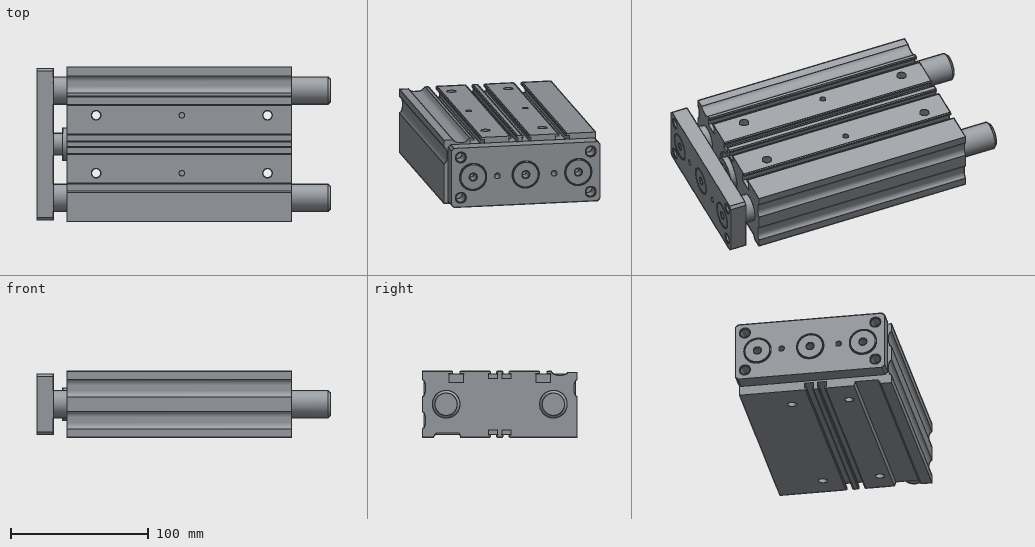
import cadquery as cq
import math

total_length = 213.0
plate_thickness = 12.0
housing_start = 21.7
housing_length = 163.0
collar_projection = 3.0

housing_width = 112.0
housing_height = 48.0
half_width = housing_width / 2
half_height = housing_height / 2

groove_depth = 2.1
groove_radius = 5.1
groove_bevel = 1.3
side_groove_near_bevel = 0.6
top_groove_near_bevel = 0.2
groove_clearance = 2.1
side_groove_inner = 5.3
side_groove_outer = 17.9
top_groove_inner = 37.0
top_groove_outer = 49.5
rail_drop = 0.9

slot_lip = 1.7
lip_bevel = 0.9
lip_bevel_drop = 0.53
centre_slot_inner = 1.5
centre_slot_outer = 7.5
centre_slot_depth = 5.3
centre_slot_undercut = 1.5
outer_slot_inner = 28.1
outer_slot_outer = 35.0
outer_slot_depth = 8.0
outer_slot_undercut = 2.8

relief_inner = 28.3
relief_outer = 48.1
relief_depth = 3.2
relief_inner_bevel = 1.0
relief_outer_bevel = 2.1

recess_diameter = 32.0
recess_depth = 2.0

mount_hole_diameter = 6.5
mount_hole_first_x = 43.0
mount_hole_pitch = 124.2
pin_diameter = 4.0
pin_depth = 5.3
pin_spacing = 42.0

plate_width = 110.0
plate_height = 44.0
plate_chamfer = 2.0
plate_hole_diameter = 6.8
plate_hole_chamfer = 0.6
plate_hole_spacing_y = 96.0
plate_hole_spacing_z = 30.0

guide_diameter = 20.0
guide_spacing = 77.7
guide_tip_chamfer = 2.0
seat_chamfer = 0.9
piston_diameter = 16.0
collar_diameter = 23.9
thread_diameter = 5.1
thread_chamfer = 0.5
thread_depth = 10.6
drill_half_angle = 59.0

recess_floor = housing_start + recess_depth
housing_end = housing_start + housing_length
guide_positions = [-guide_spacing / 2, guide_spacing / 2]
pin_positions = [-pin_spacing / 2, pin_spacing / 2]


def x_bar(diameter, start, end, y=0.0):
    """Round bar along X."""
    return cq.Workplane("YZ", origin=(start, y, 0)).circle(diameter / 2).extrude(end - start)


def housing_section(y, z):
    """Start a YZ outline at the front face of the housing."""
    return cq.Workplane("YZ", origin=(housing_start, 0, 0)).moveTo(y, z)


def groove_arc_span(rise):
    """Width over which a groove arc, tangent to the floor, climbs by the given rise."""
    return math.sqrt(groove_radius**2 - (groove_radius - rise) ** 2)


def rounded_groove(width, near_bevel, near_drop=0.0):
    """Groove below Z = 0, from its near edge at Y = 0 to its far edge at Y = width.

    An arc and a 45 degree bevel rise from the floor to each edge.
    The face beside the near edge lies near_drop below the face beside the far edge.
    """
    floor = -near_drop - groove_depth
    far_bevel = groove_bevel + near_drop
    near_rise = groove_depth - near_bevel
    far_rise = groove_depth - groove_bevel
    near_floor = near_bevel + groove_arc_span(near_rise)
    far_floor = width - far_bevel - groove_arc_span(far_rise)
    return (
        housing_section(0, groove_clearance)
        .lineTo(0, -near_drop)
        .lineTo(near_bevel, -near_drop - near_bevel)
        .threePointArc((near_floor - groove_arc_span(near_rise / 2), floor + near_rise / 2), (near_floor, floor))
        .lineTo(far_floor, floor)
        .threePointArc(
            (far_floor + groove_arc_span(far_rise / 2), floor + far_rise / 2),
            (width - far_bevel, floor + far_rise),
        )
        .lineTo(width, 0)
        .lineTo(width, groove_clearance)
        .close()
        .extrude(housing_length)
    )


def t_slot(inner, outer, depth, inner_undercut, outer_undercut):
    """Slot in the top face between Y = inner and Y = outer, bevelled at its mouth, wider below its lips."""
    top = half_height
    lip_bottom = top - slot_lip
    floor = top - depth
    mouth_inner = inner + lip_bevel
    mouth_outer = outer - lip_bevel
    wall_inner = mouth_inner - inner_undercut
    wall_outer = mouth_outer + outer_undercut
    return (
        housing_section(inner, top)
        .lineTo(mouth_inner, top - lip_bevel_drop)
        .lineTo(mouth_inner, lip_bottom)
        .lineTo(wall_inner, lip_bottom)
        .lineTo(wall_inner, floor)
        .lineTo(wall_outer, floor)
        .lineTo(wall_outer, lip_bottom)
        .lineTo(mouth_outer, lip_bottom)
        .lineTo(mouth_outer, top - lip_bevel_drop)
        .lineTo(outer, top)
        .close()
        .extrude(housing_length)
    )


def side_grooves():
    """Mirrored pair of grooves on the -Y side, and the upper one alone on the +Y side."""
    upper = (
        rounded_groove(side_groove_outer - side_groove_inner, side_groove_near_bevel)
        .rotate((0, 0, 0), (1, 0, 0), 90)
        .translate((0, -half_width, side_groove_inner))
    )
    return [upper, upper.mirror("XY"), upper.mirror("XZ")]


def top_groove():
    """Groove along the +Y edge of the top, together with the step down to the lower rail beside it."""
    groove = (
        rounded_groove(top_groove_outer - top_groove_inner, top_groove_near_bevel, rail_drop)
        .mirror("XZ")
        .translate((0, top_groove_outer, half_height))
    )
    step = (
        housing_section(top_groove_outer, half_height - rail_drop)
        .lineTo(half_width, half_height - rail_drop)
        .lineTo(half_width, half_height)
        .lineTo(top_groove_outer, half_height)
        .close()
        .extrude(housing_length)
    )
    return [groove, step]


def slots():
    """Centre pairs in the top and bottom faces, and one outer slot on each side of the top."""
    centre = t_slot(centre_slot_inner, centre_slot_outer, centre_slot_depth, lip_bevel, centre_slot_undercut)
    outer = t_slot(
        outer_slot_inner, outer_slot_outer, outer_slot_depth, outer_slot_undercut, outer_slot_undercut
    )
    top_slots = [centre, centre.mirror("XZ"), outer, outer.mirror("XZ")]
    return top_slots + [slot.mirror("XY") for slot in top_slots[:2]]


def bottom_relief():
    """Wide bevelled channel under the -Y side of the housing."""
    roof = relief_depth - half_height
    return (
        housing_section(-relief_inner, -half_height)
        .lineTo(-relief_inner - relief_inner_bevel, roof)
        .lineTo(-relief_outer + relief_outer_bevel, roof)
        .lineTo(-relief_outer, -half_height)
        .close()
        .extrude(housing_length)
    )


def make_housing():
    body = cq.Workplane("XY").box(housing_length, housing_width, housing_height)
    body = body.translate((housing_start + housing_length / 2, 0, 0))
    for channel in side_grooves() + top_groove() + slots() + [bottom_relief()]:
        body = body.cut(channel)

    mount_xs = [mount_hole_first_x, mount_hole_first_x + mount_hole_pitch]
    mount_points = [(x, y) for x in mount_xs for y in pin_positions]
    mounts = (
        cq.Workplane("XY", origin=(0, 0, -half_height))
        .pushPoints(mount_points)
        .circle(mount_hole_diameter / 2)
        .extrude(housing_height)
    )
    pin_x = mount_hole_first_x + mount_hole_pitch / 2
    pins = (
        cq.Workplane("XY", origin=(0, 0, half_height - pin_depth))
        .pushPoints([(pin_x, y) for y in pin_positions])
        .circle(pin_diameter / 2)
        .extrude(pin_depth)
    )
    body = body.cut(mounts).cut(pins)
    for y in guide_positions:
        body = body.cut(x_bar(guide_diameter, housing_start, housing_end, y))
    body = body.cut(x_bar(recess_diameter, housing_start, recess_floor))
    return body


def make_plate():
    plate = (
        cq.Workplane("YZ")
        .rect(plate_width, plate_height)
        .extrude(plate_thickness)
        .edges("|X")
        .chamfer(plate_chamfer)
    )
    corner_holes = (
        cq.Workplane("YZ")
        .rect(plate_hole_spacing_y, plate_hole_spacing_z, forConstruction=True)
        .vertices()
        .circle(plate_hole_diameter / 2)
        .extrude(plate_thickness)
    )
    plate = plate.cut(corner_holes)
    plate = plate.faces("<X").edges("%CIRCLE").chamfer(plate_hole_chamfer)
    for y in pin_positions:
        plate = plate.cut(x_bar(pin_diameter, 0, plate_thickness, y))
    for y in guide_positions + [0.0]:
        plate = plate.cut(x_bar(guide_diameter, 0, plate_thickness, y))
    return plate


def cut_end_thread(rod, y):
    """Countersunk, conically drilled hole in the front end of a rod."""
    radius = thread_diameter / 2
    mouth = radius + thread_chamfer
    point = radius / math.tan(math.radians(drill_half_angle))
    hole = (
        cq.Workplane("XY")
        .moveTo(0, 0)
        .lineTo(0, mouth)
        .lineTo(thread_chamfer, radius)
        .lineTo(thread_depth, radius)
        .lineTo(thread_depth + point, 0)
        .close()
        .revolve(360, (0, 0, 0), (1, 0, 0))
    )
    return rod.cut(hole.translate((0, y, 0)))


def make_guide_rod(y):
    rod = x_bar(guide_diameter, 0, total_length, y)
    rod = rod.faces("<X").chamfer(seat_chamfer)
    rod = rod.faces(">X").chamfer(guide_tip_chamfer)
    return cut_end_thread(rod, y)


def make_piston_rod():
    """Rod with a wider head seated in the plate, ending on the floor of the housing recess."""
    head = x_bar(guide_diameter, 0, plate_thickness).faces("<X").chamfer(seat_chamfer)
    rod = head.union(x_bar(piston_diameter, plate_thickness, recess_floor))
    return cut_end_thread(rod, 0)


def make_collar():
    """Ring around the piston rod, standing on the floor of the housing recess."""
    collar_start = housing_start - collar_projection
    ring = x_bar(collar_diameter, collar_start, recess_floor)
    return ring.cut(x_bar(piston_diameter, collar_start, recess_floor))


housing = make_housing()
plate = make_plate()
piston_rod = make_piston_rod()
collar = make_collar()
guide_rods = [make_guide_rod(y) for y in guide_positions]

result = cq.Compound.makeCompound(
    [housing.val(), plate.val(), piston_rod.val(), collar.val(), *[rod.val() for rod in guide_rods]]
)